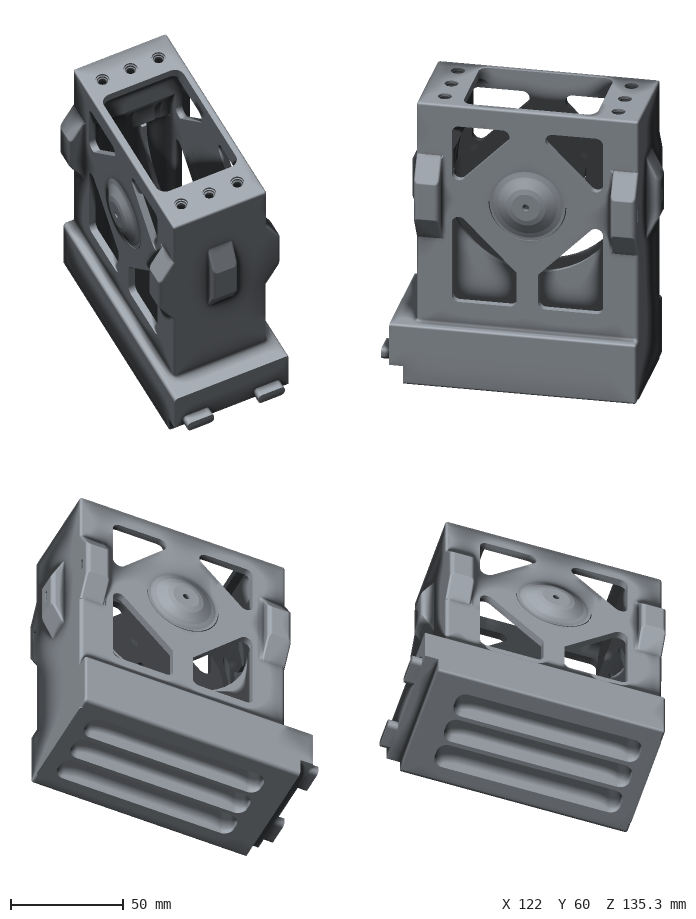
import cadquery as cq
TOTAL_HEIGHT = 135.3
SPLIT_Z = 90.4
BASE_HEIGHT = 28.8

TOWER_LENGTH = 100.4
TOWER_WIDTH = 46.0
TOWER_X = TOWER_LENGTH / 2
TOWER_Y = TOWER_WIDTH / 2
COVER_EDGE_RADIUS = 1.1
HOLDER_EDGE_RADIUS = 1.6

BASE_WIDTH = 56.3
BASE_Y = BASE_WIDTH / 2
BASE_X_MAX = 61.4
BASE_FRONT_RADIUS = 1.9
BASE_EDGE_RADIUS = 1.1
BASE_FOOT_RADIUS = 1.4
NOTCH_LENGTH = 6.2
NOTCH_HEIGHT = 8.8

PLUG_REACH = 4.6
PLUG_WIDTH = 13.1
PLUG_HEIGHT = 5.3
PLUG_RADIUS = 2.0
PLUG_Y = 17.5
PLUG_Z = 11.8

WALL = 3.2
CAVITY_WIDTH = TOWER_WIDTH - 2 * WALL
CAVITY_LENGTH = 68.5
CAVITY_TOP_RADIUS = 4.0
ROOF_THICKNESS = 4.0
ROOF_OPENING_LENGTH = 60.6
REEL_RADIUS = 40.6

BAY_COUNT = 3
BAY_LENGTH = 86.3
DIVIDER_THICKNESS = 2.0
DIVIDER_RADIUS = 39.2
BAY_WIDTH = (CAVITY_WIDTH - (BAY_COUNT - 1) * DIVIDER_THICKNESS) / BAY_COUNT
BAY_PITCH = BAY_WIDTH + DIVIDER_THICKNESS
INNER_CORNER_RADIUS = 4.6

WINDOW_X = CAVITY_LENGTH / 2
WINDOW_DIAGONAL = 38.5
WINDOW_TOP = 125.4
WINDOW_BOTTOM = 40.0
WINDOW_POST_X = 4.9
WINDOW_RADIUS = 3.2

OVERALL_WIDTH = 60.0
LUG_TIP_HALF = 8.7
LUG_ROOT_HALF = 20.2
LUG_TIP_RADIUS = 2.0
LUG_SLOPE_RADIUS = 1.0
SIDE_LUG_REACH = (OVERALL_WIDTH - TOWER_WIDTH) / 2
SIDE_LUG_LENGTH = 11.5
SIDE_LUG_FOOT_RADIUS = 1.4
END_LUG_REACH = 5.8
END_LUG_WIDTH = 12.0

SLOT_WIDTH = 1.8
SLOT_ABOVE_SPLIT = 3.1
SLOT_BELOW_SPLIT = 2.8
SLOT_DEPTH = 5.4
SLOT_Y = 24.2

HUB_TAB_RADIUS = 17.2
HUB_CLEARANCE = 0.4
HUB_HOLE_DIAMETER = 3.1
HUB_PROFILE = [(16.0, 0), (13.5, 0.7), (8.8, 3.0), (6.4, 3.5)]

SCREW_X = 39.2
SCREW_HOLE_DIAMETER = 3.8
SCREW_STEPS = [(6.1, 1.0), (5.0, 1.9)]


def box(x_range, y_range, z_range):
    """Box between two limits on each axis."""
    sizes = [high - low for low, high in (x_range, y_range, z_range)]
    return cq.Workplane("XY").box(*sizes, centered=False).translate((x_range[0], y_range[0], z_range[0]))


def centred_box(length, width, z_range):
    """Box centred on the Z axis."""
    return box((-length / 2, length / 2), (-width / 2, width / 2), z_range)


def reel_cylinder(radius, length):
    """Cylinder on the reel axis, centred on Y = 0."""
    return cq.Workplane("XZ", origin=(0, 0, SPLIT_Z)).circle(radius).extrude(length / 2, both=True)


def with_mirror(shape, plane):
    """The shape together with its mirror image."""
    return shape.union(shape.mirror(plane))



def lug_outline(wall, reach):
    """Trapezoid standing on a wall, sunk into it by the holder's edge radius."""
    root = wall - HOLDER_EDGE_RADIUS
    upper = [(wall + reach, LUG_TIP_HALF), (wall, LUG_ROOT_HALF), (root, LUG_ROOT_HALF)]
    lower = [(across, -rise) for across, rise in reversed(upper)]
    return [(across, SPLIT_Z + rise) for across, rise in upper + lower]


def round_lug(lug, outward, sideways):
    """Round the tip's upright edges, then the sloping edges."""
    tip_rounded = lug.faces(f">{outward}").edges("|Z").fillet(LUG_TIP_RADIUS)
    slopes = tip_rounded.faces(f"<{sideways} or >{sideways}").edges(f"not(|Z or |{outward})")
    return slopes.fillet(LUG_SLOPE_RADIUS)


def side_lugs():
    """Four lugs at the corners of the long walls, each with a concave foot on its inner side."""
    inner_x = TOWER_X - SIDE_LUG_LENGTH
    foot_x = inner_x - SIDE_LUG_FOOT_RADIUS
    outline = lug_outline(TOWER_Y, SIDE_LUG_REACH)
    lug = cq.Workplane("YZ", origin=(inner_x, 0, 0)).polyline(outline).close().extrude(SIDE_LUG_LENGTH)
    lug = round_lug(lug, "Y", "X")
    foot = cq.Workplane("YZ", origin=(foot_x, 0, 0)).polyline(outline).close().extrude(SIDE_LUG_FOOT_RADIUS)
    foot_axis_y = TOWER_Y + SIDE_LUG_FOOT_RADIUS
    foot = foot.intersect(box((foot_x, inner_x), (0, foot_axis_y), (0, TOTAL_HEIGHT)))
    foot = foot.cut(cq.Workplane("XY").center(foot_x, foot_axis_y).circle(SIDE_LUG_FOOT_RADIUS).extrude(TOTAL_HEIGHT))
    return with_mirror(with_mirror(lug.union(foot), "XZ"), "YZ")


def end_lugs():
    """One lug in the middle of each end wall."""
    outline = lug_outline(TOWER_X, END_LUG_REACH)
    lug = cq.Workplane("XZ").polyline(outline).close().extrude(END_LUG_WIDTH / 2, both=True)
    return with_mirror(round_lug(lug, "X", "Y"), "YZ")


def add_lugs(body, z_range):
    """Add the part of every lug that lies between two heights."""
    layer = centred_box(2 * TOTAL_HEIGHT, 2 * TOTAL_HEIGHT, z_range)
    return body.union(side_lugs().intersect(layer)).union(end_lugs().intersect(layer))


def cut_slots(body):
    """Cut the slots that cross the parting plane."""
    z_range = (SPLIT_Z - SLOT_BELOW_SPLIT, SPLIT_Z + SLOT_ABOVE_SPLIT)
    for x, y in ((-TOWER_X, -SLOT_Y), (-TOWER_X - END_LUG_REACH, 0), (-TOWER_X, SLOT_Y)):
        body = body.cut(box((x, x + SLOT_DEPTH), (y - SLOT_WIDTH / 2, y + SLOT_WIDTH / 2), z_range))
    return body



def window_prism(points):
    """Sharp-cornered window through both long walls."""
    return cq.Workplane("XZ").polyline(points).close().extrude(TOWER_WIDTH, both=True)


def upper_windows():
    """Triangular windows of the cover."""
    top_rise = WINDOW_TOP - SPLIT_Z
    window = window_prism([
        (WINDOW_X, WINDOW_TOP),
        (WINDOW_DIAGONAL - top_rise, WINDOW_TOP),
        (WINDOW_X, SPLIT_Z + WINDOW_DIAGONAL - WINDOW_X),
    ])
    return with_mirror(window.edges("|Y").fillet(WINDOW_RADIUS), "YZ")


def cover_cavity():
    """Roof opening, rounded cavity under the roof and the reel's cylinder."""
    opening = centred_box(ROOF_OPENING_LENGTH, CAVITY_WIDTH, (SPLIT_Z, TOTAL_HEIGHT))
    opening = opening.edges("|Z").fillet(INNER_CORNER_RADIUS)
    cavity = centred_box(CAVITY_LENGTH, CAVITY_WIDTH, (SPLIT_Z, TOTAL_HEIGHT - ROOF_THICKNESS))
    cavity = cavity.faces(">Z").edges("|X").fillet(CAVITY_TOP_RADIUS)
    return opening.union(cavity).union(reel_cylinder(REEL_RADIUS, CAVITY_WIDTH))


def hubs():
    """Domed hubs whose round tabs reach below the parting plane."""
    profile = [(0, -WALL), (HUB_TAB_RADIUS, -WALL), (HUB_TAB_RADIUS, 0), *HUB_PROFILE, (0, HUB_PROFILE[-1][1])]
    hub = cq.Workplane("XY").polyline(profile).close().revolve(360, (0, 0, 0), (0, 1, 0))
    return with_mirror(hub.translate((0, TOWER_Y, SPLIT_Z)), "XZ")


def screw_holes():
    """Stepped holes in two rows, one hole above each end of every bay."""
    points = [(x, row * BAY_PITCH) for x in (-SCREW_X, SCREW_X) for row in (-1, 0, 1)]
    top = cq.Workplane("XY", origin=(0, 0, TOTAL_HEIGHT)).pushPoints(points)
    holes = top.circle(SCREW_HOLE_DIAMETER / 2).extrude(SPLIT_Z - TOTAL_HEIGHT)
    for diameter, depth in SCREW_STEPS:
        holes = holes.union(top.circle(diameter / 2).extrude(-depth))
    return holes


def make_cover():
    """Upper body: roof, upper walls, upper lug halves and both hubs."""
    cover = centred_box(TOWER_LENGTH, TOWER_WIDTH, (SPLIT_Z, TOTAL_HEIGHT))
    cover = cover.edges("|Z or >Z").fillet(COVER_EDGE_RADIUS)
    cover = add_lugs(cover, (SPLIT_Z, TOTAL_HEIGHT))
    cover = cover.cut(cover_cavity()).cut(upper_windows())
    cover = cover.union(hubs())
    cover = cover.cut(reel_cylinder(HUB_HOLE_DIAMETER / 2, OVERALL_WIDTH)).cut(screw_holes())
    return cut_slots(cover)



def lower_windows():
    """Windows of the holder, cut through the long walls only."""
    window = window_prism([
        (WINDOW_X, SPLIT_Z - WINDOW_DIAGONAL + WINDOW_X),
        (WINDOW_POST_X, SPLIT_Z - WINDOW_DIAGONAL + WINDOW_POST_X),
        (WINDOW_POST_X, WINDOW_BOTTOM),
        (WINDOW_X, WINDOW_BOTTOM),
    ])
    window = window.edges("|Y and (>X or <Z)").fillet(WINDOW_RADIUS)
    between_walls = centred_box(BAY_LENGTH, CAVITY_WIDTH, (0, TOTAL_HEIGHT))
    return with_mirror(window.cut(between_walls), "YZ")


def bays():
    """Bays open at top and bottom, and the round seat across the tops of the dividers."""
    seat = reel_cylinder(DIVIDER_RADIUS, CAVITY_WIDTH)
    bay = centred_box(BAY_LENGTH, BAY_WIDTH, (0, SPLIT_Z)).edges("|Z").fillet(INNER_CORNER_RADIUS)
    for row in (-1, 0, 1):
        seat = seat.union(bay.translate((0, row * BAY_PITCH, 0)))
    return seat


def base():
    """Rounded block under the tower, notched below its +X end."""
    block = box((-TOWER_X, BASE_X_MAX), (-BASE_Y, BASE_Y), (0, BASE_HEIGHT))
    block = block.faces("<Y").edges("|X").fillet(BASE_FRONT_RADIUS)
    block = block.edges("(>Y and |X) or (<X and >Y) or (<X and |Y)").fillet(BASE_EDGE_RADIUS)
    notch = box((BASE_X_MAX - NOTCH_LENGTH, BASE_X_MAX), (-BASE_Y, BASE_Y), (0, NOTCH_HEIGHT))
    return block.cut(notch)


def plugs():
    """Two rounded plugs on the +X end of the base."""
    plug = cq.Workplane("YZ", origin=(BASE_X_MAX, PLUG_Y, PLUG_Z)).rect(PLUG_WIDTH, PLUG_HEIGHT).extrude(PLUG_REACH)
    return with_mirror(plug.edges("|X").fillet(PLUG_RADIUS), "XZ")


def make_holder():
    """Lower body: base, lower walls, dividers, plugs and lower lug halves."""
    tower = centred_box(TOWER_LENGTH, TOWER_WIDTH, (0, SPLIT_Z))
    tower = tower.edges("|Z").fillet(HOLDER_EDGE_RADIUS)
    holder = tower.union(base())
    margin = 0.1
    foot = cq.selectors.BoxSelector(
        (-TOWER_X, -TOWER_Y - margin, BASE_HEIGHT - margin),
        (TOWER_X, TOWER_Y + margin, BASE_HEIGHT + margin),
    )
    holder = holder.edges(foot).edges("|X").fillet(BASE_FOOT_RADIUS)
    holder = add_lugs(holder, (0, SPLIT_Z)).union(plugs())
    holder = holder.cut(bays()).cut(lower_windows())
    holder = holder.cut(reel_cylinder(HUB_TAB_RADIUS + HUB_CLEARANCE, OVERALL_WIDTH))
    return cut_slots(holder)


cover = make_cover()
holder = make_holder()
result = cq.Compound.makeCompound([cover.val(), holder.val()])